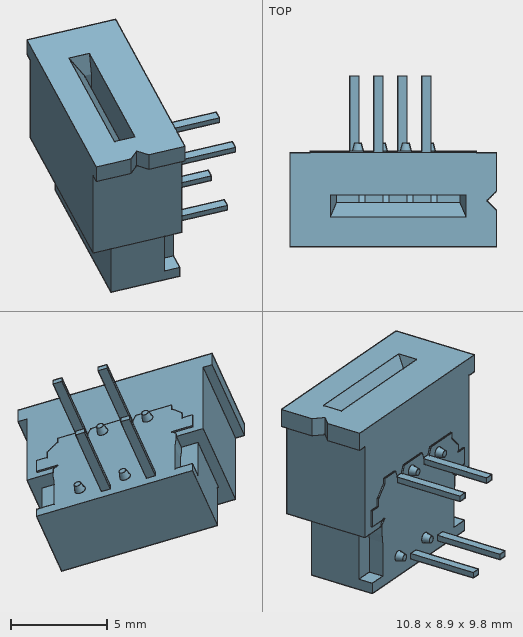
import cadquery as cq

FLANGE_WIDTH = 10.75
HOUSING_DEPTH = 4.9
TOTAL_HEIGHT = 9.8
FLANGE_HEIGHT = 1.0
FLANGE_OVERHANG = 0.49
HOUSING_BOTTOM = 3.49
HOUSING_WIDTH = FLANGE_WIDTH - 2 * FLANGE_OVERHANG

NOTCH_Y = 2.41
NOTCH_HALF_WIDTH = 0.49
NOTCH_DEPTH = 0.49

BASE_WIDTH = 8.64
BASE_FRONT = 1.18
FLARE_RUN = 0.14
FLARE_HEIGHT = 0.2

PLATE_FRONT = 4.15
PLATE_BACK = 4.99
PLATE_TOP = 6.22
SHOULDER_INSET = 0.59
NECK_INSET = 1.17
NECK_BOTTOM = 5.9
SHOULDER_TOP = 5.29
WING_TOP = 4.84
WING_BOTTOM = 3.9
FOOT_TOP = 0.61
LATCH_TOP = 3.65
LATCH_BOTTOM = 3.01
LATCH_DRAFT_BOTTOM = 2.56
LATCH_DRAFT = 0.05

CABLE_X = 0.26
SLOT_BACK = 2.7
MOUTH_WIDTH = 7.05
MOUTH_FRONT = 1.57
MOUTH_DEPTH = 1.18
SIDE_TAPER = 0.32
THROAT_FRONT = 2.32
SLOT_DEPTH = 5.0

PITCH = 1.25
CONTACT_COUNT = 4
CONTACT_WIDTH = 0.31
PIN_WIDTH = 0.49
PIN_THICKNESS = 0.32
PIN_TIP = 8.9
LOWER_PIN_Z = 0.66
UPPER_PIN_Z = 5.65
PIN_ROOT = 0.22
PEG_X = 0.03
PEG_BASE_RADIUS = 0.29
PEG_TIP_RADIUS = 0.18
PEG_LENGTH = 0.41
LOWER_PEG_Z = 1.18
UPPER_PEG_Z = UPPER_PIN_Z
PIN_GROOVE_WIDTH = 0.82


def block(x_min, x_max, y_min, y_max, z_min, z_max):
    size = (x_max - x_min, y_max - y_min, z_max - z_min)
    return cq.Workplane("XY").box(*size, centered=False).translate((x_min, y_min, z_min))


def centered_block(width, y_min, y_max, z_min, z_max, x_center=0):
    return block(x_center - width / 2, x_center + width / 2, y_min, y_max, z_min, z_max)


def extrude_along_y(points, y_min, y_max):
    profile = cq.Workplane("XZ", origin=(0, y_min, 0)).polyline(points).close()
    return profile.extrude(-(y_max - y_min))


def make_housing():
    flange_bottom = TOTAL_HEIGHT - FLANGE_HEIGHT
    flange = centered_block(FLANGE_WIDTH, 0, HOUSING_DEPTH, flange_bottom, TOTAL_HEIGHT)
    edge = FLANGE_WIDTH / 2
    notch = (
        cq.Workplane("XY", origin=(0, 0, flange_bottom))
        .polyline([
            (edge, NOTCH_Y - NOTCH_HALF_WIDTH),
            (edge - NOTCH_DEPTH, NOTCH_Y),
            (edge, NOTCH_Y + NOTCH_HALF_WIDTH),
        ])
        .close()
        .extrude(FLANGE_HEIGHT)
    )
    box = centered_block(HOUSING_WIDTH, 0, HOUSING_DEPTH, HOUSING_BOTTOM, flange_bottom)
    return box.union(flange.cut(notch))


def make_base():
    profile = [
        (BASE_FRONT, 0),
        (PLATE_FRONT, 0),
        (PLATE_FRONT, HOUSING_BOTTOM),
        (BASE_FRONT - FLARE_RUN, HOUSING_BOTTOM),
        (BASE_FRONT, HOUSING_BOTTOM - FLARE_HEIGHT),
    ]
    return cq.Workplane("YZ").polyline(profile).close().extrude(BASE_WIDTH / 2, both=True)


def make_rear_plate():
    edge = BASE_WIDTH / 2
    neck = edge - NECK_INSET
    shoulder = edge - SHOULDER_INSET
    latch = neck + WING_BOTTOM - LATCH_TOP
    right_side = [
        (edge, 0),
        (edge, FOOT_TOP),
        (latch - LATCH_DRAFT, FOOT_TOP),
        (latch - LATCH_DRAFT, LATCH_DRAFT_BOTTOM),
        (latch, LATCH_BOTTOM),
        (latch, LATCH_TOP),
        (neck, WING_BOTTOM),
        (edge, WING_BOTTOM),
        (edge, WING_TOP),
        (shoulder, WING_TOP),
        (shoulder, SHOULDER_TOP),
        (neck, NECK_BOTTOM),
        (neck, PLATE_TOP),
    ]
    left_side = [(-x, z) for x, z in reversed(right_side)]
    return extrude_along_y(right_side + left_side, PLATE_FRONT, PLATE_BACK)


def make_slot():
    mouth_bottom = TOTAL_HEIGHT - MOUTH_DEPTH
    throat_width = MOUTH_WIDTH - 2 * SIDE_TAPER
    mouth_y = (MOUTH_FRONT + SLOT_BACK) / 2
    throat_y = (THROAT_FRONT + SLOT_BACK) / 2
    mouth = (
        cq.Workplane("XY", origin=(CABLE_X, mouth_y, TOTAL_HEIGHT))
        .rect(MOUTH_WIDTH, SLOT_BACK - MOUTH_FRONT)
        .workplane(offset=-MOUTH_DEPTH)
        .center(0, throat_y - mouth_y)
        .rect(throat_width, SLOT_BACK - THROAT_FRONT)
        .loft(ruled=True)
    )
    slot_bottom = TOTAL_HEIGHT - SLOT_DEPTH
    throat = centered_block(throat_width, THROAT_FRONT, SLOT_BACK, slot_bottom, mouth_bottom, CABLE_X)
    return mouth.union(throat)


def make_contact(x):
    """Wedge on the slot floor, sloping at 45 degrees down to the rear wall."""
    floor = TOTAL_HEIGHT - SLOT_DEPTH
    rise = SLOT_BACK - THROAT_FRONT
    profile = [(THROAT_FRONT, floor), (SLOT_BACK, floor), (THROAT_FRONT, floor + rise)]
    wedge = cq.Workplane("YZ", origin=(x, 0, 0)).polyline(profile).close()
    return wedge.extrude(CONTACT_WIDTH / 2, both=True)


def make_pin(x, z):
    half = PIN_THICKNESS / 2
    return centered_block(PIN_WIDTH, PLATE_BACK - PIN_ROOT, PIN_TIP, z - half, z + half, x)


def make_peg(x, z):
    cone = cq.Solid.makeCone(
        PEG_BASE_RADIUS, PEG_TIP_RADIUS, PEG_LENGTH, cq.Vector(x, PLATE_BACK, z), cq.Vector(0, 1, 0)
    )
    return cq.Workplane(obj=cone)


def make_pin_groove(x):
    """Tapered groove in the top of the rear plate, down to an upper pin."""
    pin_top = UPPER_PIN_Z + PIN_THICKNESS / 2
    profile = [
        (x - PIN_WIDTH / 2, pin_top),
        (x + PIN_WIDTH / 2, pin_top),
        (x + PIN_GROOVE_WIDTH / 2, PLATE_TOP),
        (x - PIN_GROOVE_WIDTH / 2, PLATE_TOP),
    ]
    return extrude_along_y(profile, HOUSING_DEPTH, PLATE_BACK)


result = make_housing().cut(make_slot()).union(make_base()).union(make_rear_plate())

for index in range(CONTACT_COUNT):
    offset = (index - (CONTACT_COUNT - 1) / 2) * PITCH
    contact_x = CABLE_X + offset
    pin_x = contact_x - (CONTACT_WIDTH + PIN_WIDTH) / 2
    is_upper = index % 2 == 1
    if is_upper:
        result = result.cut(make_pin_groove(pin_x))
    pin_z = UPPER_PIN_Z if is_upper else LOWER_PIN_Z
    peg_z = LOWER_PEG_Z if is_upper else UPPER_PEG_Z
    result = result.union(make_contact(contact_x))
    result = result.union(make_pin(pin_x, pin_z))
    result = result.union(make_peg(PEG_X + offset, peg_z))